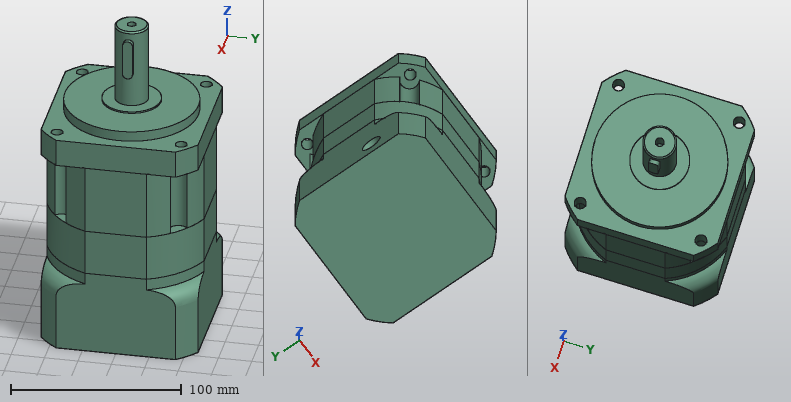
import cadquery as cq
import math

side = 94.0
wide_corner_radius = 59.0
slim_corner_radius = 50.5

adapter_top = 52.0
ring_top = 80.2
housing_top = 122.4
flange_top = 139.2
pilot_top = 145.5
collar_top = 146.5
shaft_top = 195.5

shoulder_top = 45.0
shoulder_radius = 10.0
access_hole_diameter = 12.7
access_hole_y = -16.0
access_hole_z = 15.0
hub_radius = 23.9

bolt_offset = 37.1
bolt_hole_diameter = 6.8
groove_offset = 35.0
groove_radius = 5.9

pilot_diameter = 80.0
collar_diameter = 35.2
shaft_diameter = 20.0
shaft_chamfer = 1.0
centre_hole_diameter = 5.0
centre_hole_depth = 15.6
drill_point_angle = 118

key_width = 6.0
key_length = 24.8
key_bottom = 165.5
key_outer_x = 12.5


def cylinder(diameter, bottom, top):
    """Upright cylinder on the Z axis between two heights."""
    return cq.Workplane("XY").workplane(offset=bottom).circle(diameter / 2).extrude(top - bottom)


def square_block(corner_radius, bottom, top):
    """Square block whose four corners are turned to a radius about the Z axis."""
    block = cq.Workplane("XY").workplane(offset=bottom).rect(side, side).extrude(top - bottom)
    return block.intersect(cylinder(2 * corner_radius, bottom, top))


def corner_cylinders(offset, radius, bottom, top):
    """Four upright cylinders, one near each corner of the square section."""
    return (
        cq.Workplane("XY").workplane(offset=bottom)
        .rect(2 * offset, 2 * offset, forConstruction=True).vertices()
        .circle(radius).extrude(top - bottom)
    )


def shoulder_envelope():
    """Turned shape of the adapter: wide below, rounded in to the slim radius above."""
    arc_centre_r = wide_corner_radius - shoulder_radius
    arc_centre_z = shoulder_top - shoulder_radius
    inset = slim_corner_radius - arc_centre_r
    arc_end_z = arc_centre_z + math.sqrt(shoulder_radius**2 - inset**2)
    half_diagonal = shoulder_radius * math.sqrt(0.5)
    return (
        cq.Workplane("XZ")
        .lineTo(wide_corner_radius, 0)
        .lineTo(wide_corner_radius, arc_centre_z)
        .threePointArc(
            (arc_centre_r + half_diagonal, arc_centre_z + half_diagonal),
            (slim_corner_radius, arc_end_z),
        )
        .lineTo(slim_corner_radius, adapter_top)
        .lineTo(0, adapter_top)
        .close()
        .revolve(360, (0, 0, 0), (0, 1, 0))
    )


def make_adapter():
    """Motor adapter at the bottom, with an access hole in its -X side."""
    block = cq.Workplane("XY").rect(side, side).extrude(adapter_top)
    access_hole = (
        cq.Workplane("YZ").workplane(offset=-side / 2)
        .center(access_hole_y, access_hole_z)
        .circle(access_hole_diameter / 2).extrude(side / 2)
        .cut(cylinder(2 * hub_radius, 0, adapter_top))
    )
    return block.intersect(shoulder_envelope()).cut(access_hole)


def make_ring():
    """Plain ring-gear section above the adapter."""
    return square_block(slim_corner_radius, adapter_top, ring_top)


def make_housing():
    """Housing section with a round bolt relief groove down each corner."""
    housing = square_block(slim_corner_radius, ring_top, housing_top)
    return housing.cut(corner_cylinders(groove_offset, groove_radius, ring_top, housing_top))


def make_key():
    """Shape of the round-ended key, reaching in to the middle of the shaft."""
    return (
        cq.Workplane("YZ")
        .center(0, key_bottom + key_length / 2)
        .slot2D(key_length, key_width, 90).extrude(key_outer_x)
    )


def make_centre_hole():
    """Drilled hole in the shaft end, with a conical drill point."""
    radius = centre_hole_diameter / 2
    hole_bottom = shaft_top - centre_hole_depth
    point_height = radius / math.tan(math.radians(drill_point_angle / 2))
    return (
        cq.Workplane("XZ")
        .moveTo(0, shaft_top)
        .lineTo(radius, shaft_top)
        .lineTo(radius, hole_bottom)
        .lineTo(0, hole_bottom - point_height)
        .close()
        .revolve(360, (0, 0, 0), (0, 1, 0))
    )


def make_output():
    """Output flange with its pilot, collar and keyed shaft."""
    flange = square_block(wide_corner_radius, housing_top, flange_top)
    flange = flange.cut(
        corner_cylinders(bolt_offset, bolt_hole_diameter / 2, housing_top, flange_top)
    )
    pilot = cylinder(pilot_diameter, flange_top, pilot_top)
    collar = cylinder(collar_diameter, pilot_top, collar_top)
    shaft = cylinder(shaft_diameter, collar_top, shaft_top).faces(">Z").chamfer(shaft_chamfer)
    keyed_shaft = shaft.union(make_key()).cut(make_centre_hole())
    return flange.union(pilot).union(collar).union(keyed_shaft)


adapter = make_adapter()
ring = make_ring()
housing = make_housing()
output = make_output()

result = cq.Compound.makeCompound([adapter.val(), ring.val(), housing.val(), output.val()])